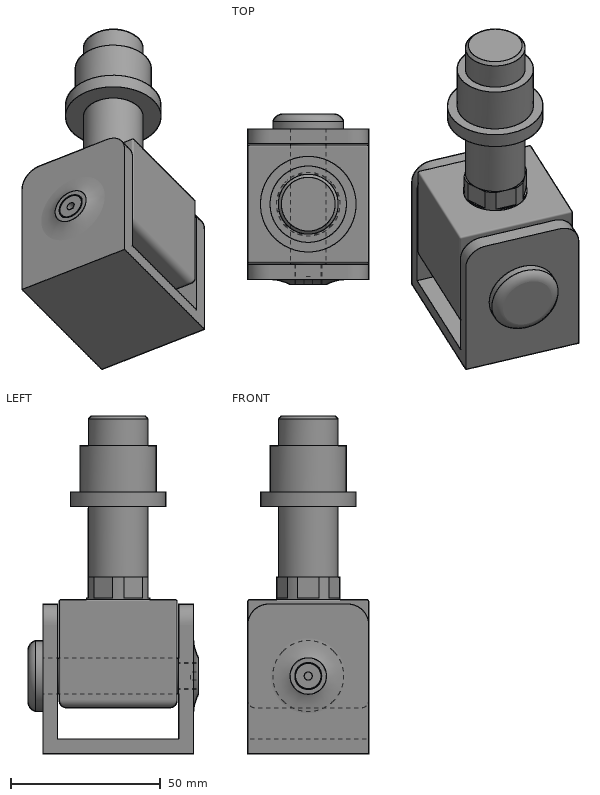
import cadquery as cq


width = 40.5
wall = 5.0
inner_gap = width
bracket_height = 50.1
arm_corner_radius = 7.0
inner_y = inner_gap / 2
outer_y = inner_y + wall

boss_base_radius = 25.1 / 2
boss_rim_radius = 12.2 / 2
boss_height = 1.7
boss_run = boss_base_radius - boss_rim_radius
boss_flare_radius = (boss_run**2 + boss_height**2) / (2 * boss_height)

pin_z = 26.0
shaft_diameter = 12.0
tail_diameter = 8.5
tail_hole_diameter = 9.0
center_hole_diameter = 2.7
center_hole_depth = center_hole_diameter
head_radius = 23.7 / 2
head_height = wall
head_rim_height = 2.5
head_flat_radius = 17.5 / 2
head_round_radius = 3.6

block_depth = 39.4
block_bottom = 15.4
block_top = 51.5
block_edge_radius = 0.62
block_bottom_radius = 2.5

total_height = 113.0
neck_diameter = 21.2
neck_flats = 20.0
neck_flats_bottom = 52.1
neck_top = 59.1
post_diameter = 20.0
flange_diameter = 32.0
flange_bottom = 82.6
flange_thickness = wall
sleeve_diameter = 25.5
sleeve_top = 103.0
post_chamfer = 1.0


def cylinder_y(diameter, y_start, y_end):
    """Cylinder along +Y on the pin axis."""
    return (
        cq.Workplane("XZ", origin=(0, y_start, pin_z))
        .circle(diameter / 2)
        .extrude(y_start - y_end)
    )


def cylinder_z(diameter, z_start, z_end):
    """Cylinder along +Z on the post axis."""
    return cq.Workplane("XY", origin=(0, 0, z_start)).circle(diameter / 2).extrude(z_end - z_start)


def revolve_on_pin_axis(profile):
    """Turn a closed (radius, Y) profile about the pin axis."""
    return profile.revolve(360, (0, 0), (0, 1))


def make_boss():
    """Flared boss whose concave side runs out tangent to the arm."""
    profile = (
        cq.Workplane("XY", origin=(0, -outer_y, pin_z))
        .lineTo(boss_base_radius, 0)
        .radiusArc((boss_rim_radius, -boss_height), -boss_flare_radius)
        .lineTo(0, -boss_height)
        .close()
    )
    return revolve_on_pin_axis(profile)


def make_bracket():
    body = cq.Workplane("XY").box(width, 2 * outer_y, bracket_height, centered=(True, True, False))
    body = body.edges("|Y and >Z").fillet(arm_corner_radius)
    opening = (
        cq.Workplane("XY", origin=(0, 0, wall))
        .box(width, inner_gap, bracket_height, centered=(True, True, False))
    )
    body = body.cut(opening).union(make_boss())
    tail_hole = cylinder_y(tail_hole_diameter, -outer_y - boss_height, -inner_y)
    shaft_hole = cylinder_y(shaft_diameter, inner_y, outer_y)
    return body.cut(tail_hole).cut(shaft_hole)


def make_pin():
    """Pin with a rounded head at +Y and a stepped-down tail at -Y."""
    tail_end = -outer_y - boss_height
    tail = cylinder_y(tail_diameter, tail_end, -inner_y)
    shaft = cylinder_y(shaft_diameter, -inner_y, outer_y)
    head_profile = (
        cq.Workplane("XY", origin=(0, outer_y, pin_z))
        .lineTo(0, head_height)
        .lineTo(head_flat_radius, head_height)
        .radiusArc((head_radius, head_rim_height), head_round_radius)
        .lineTo(head_radius, 0)
        .close()
    )
    head = revolve_on_pin_axis(head_profile)
    center_hole = cylinder_y(center_hole_diameter, tail_end, tail_end + center_hole_depth)
    return shaft.union(tail).union(head).cut(center_hole)


def make_block():
    block = (
        cq.Workplane("XY", origin=(0, 0, block_bottom))
        .box(width, block_depth, block_top - block_bottom, centered=(True, True, False))
        .edges("|Z or >Z")
        .fillet(block_edge_radius)
        .faces("<Z")
        .edges()
        .fillet(block_bottom_radius)
    )
    return block.cut(cylinder_y(shaft_diameter, -inner_y, inner_y))


def make_post():
    """Post with a six-flat neck, a flange and a thicker sleeve section."""
    neck_base = cylinder_z(neck_diameter, block_top, neck_flats_bottom)
    hexagon = (
        cq.Workplane("XY", origin=(0, 0, neck_flats_bottom))
        .transformed(rotate=(0, 0, 30))
        .polygon(6, neck_flats, circumscribed=True)
        .extrude(neck_top - neck_flats_bottom)
    )
    neck = cylinder_z(neck_diameter, neck_flats_bottom, neck_top).intersect(hexagon)
    shaft = cylinder_z(post_diameter, neck_top, total_height).faces(">Z").chamfer(post_chamfer)
    flange = cylinder_z(flange_diameter, flange_bottom, flange_bottom + flange_thickness)
    sleeve = cylinder_z(sleeve_diameter, flange_bottom + flange_thickness, sleeve_top)
    return neck_base.union(neck).union(shaft).union(flange).union(sleeve)


bracket = make_bracket()
pin = make_pin()
block = make_block()
post = make_post()

result = cq.Compound.makeCompound([bracket.val(), pin.val(), block.val(), post.val()])